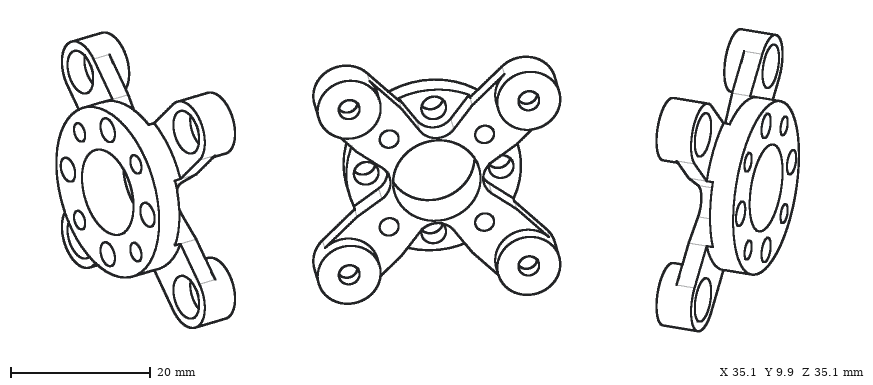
import cadquery as cq
import math

overall_side = 35.13
total_depth = 9.9

flange_radius = 12.65
flange_thickness = 3.6
bore_radius = 6.32

bolt_circle_radius = 9.75
large_hole_diameter = 3.55
small_hole_diameter = 2.75

boss_radius = 4.55
boss_offset = overall_side / 2 - boss_radius
boss_reach = boss_offset * math.sqrt(2)
boss_front = 4.53
arm_back = 7.35
notch_radius = 3.05

screw_hole_diameter = 3.0
counterbore_diameter = 6.32
counterbore_depth = 3.0

arm_angles = [45, 135, 225, 315]
square_angles = [0, 90, 180, 270]


def polar_points(radius, angles):
    return [
        (radius * math.cos(math.radians(a)), radius * math.sin(math.radians(a)))
        for a in angles
    ]


def section_plane(y):
    """XZ sketch plane at depth y; extruding by a negative length goes toward +Y."""
    return cq.Workplane("XZ", origin=(0, y, 0))


def cylinders(points, diameter, y_start, y_end):
    sketch = section_plane(y_start).pushPoints(points)
    return sketch.circle(diameter / 2).extrude(y_start - y_end)


def hub_notch():
    """Cut between two arms: an arc around a large hole with tangent straight flanks."""
    corner_angle = math.pi / 4 + math.asin(boss_radius / flange_radius)
    corner_x = flange_radius * math.cos(corner_angle)
    corner_z = flange_radius * math.sin(corner_angle)
    corner_rise = corner_z - bolt_circle_radius
    corner_distance = math.hypot(corner_x, corner_rise)
    tangent_angle = math.atan2(corner_rise, corner_x) - math.acos(notch_radius / corner_distance)
    tangent_x = notch_radius * math.cos(tangent_angle)
    tangent_z = bolt_circle_radius + notch_radius * math.sin(tangent_angle)
    return (
        section_plane(flange_thickness)
        .moveTo(-corner_x, flange_radius)
        .lineTo(-corner_x, corner_z)
        .lineTo(-tangent_x, tangent_z)
        .threePointArc((0, bolt_circle_radius - notch_radius), (tangent_x, tangent_z))
        .lineTo(corner_x, corner_z)
        .lineTo(corner_x, flange_radius)
        .close()
        .extrude(flange_thickness - arm_back)
    )


def arm():
    """Straight arm along +X from the flange rim to the boss center."""
    start = math.sqrt(flange_radius**2 - boss_radius**2)
    return (
        section_plane(boss_front)
        .center((start + boss_reach) / 2, 0)
        .rect(boss_reach - start, 2 * boss_radius)
        .extrude(boss_front - arm_back)
    )


def turned(shape, angle):
    """Rotate a shape about the part's axis."""
    return shape.rotate((0, 0, 0), (0, 1, 0), angle)


center = [(0, 0)]
body = cylinders(center, 2 * flange_radius, 0, arm_back)
for angle in square_angles:
    body = body.cut(turned(hub_notch(), angle))

boss_points = polar_points(boss_reach, arm_angles)
for angle in arm_angles:
    body = body.union(turned(arm(), angle))
body = body.union(cylinders(boss_points, 2 * boss_radius, boss_front, total_depth))

body = body.cut(cylinders(center, 2 * bore_radius, 0, total_depth))
large_hole_points = polar_points(bolt_circle_radius, square_angles)
small_hole_points = polar_points(bolt_circle_radius, arm_angles)
body = body.cut(cylinders(large_hole_points, large_hole_diameter, 0, total_depth))
body = body.cut(cylinders(small_hole_points, small_hole_diameter, 0, total_depth))

counterbore_floor = boss_front + counterbore_depth
body = body.cut(cylinders(boss_points, screw_hole_diameter, boss_front, total_depth))
body = body.cut(cylinders(boss_points, counterbore_diameter, boss_front, counterbore_floor))

result = body